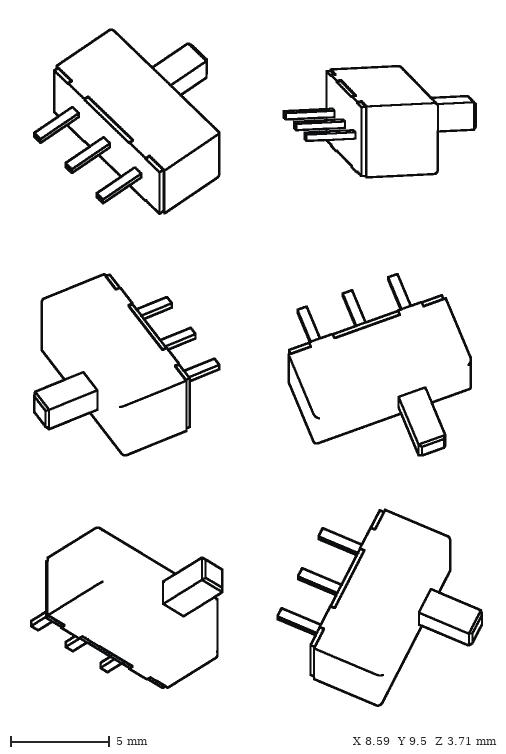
import cadquery as cq

HOUSING_WIDTH = 8.59
HOUSING_DEPTH = 3.77
HOUSING_HEIGHT = 3.71
HOUSING_ROUND = 0.27

BASE_THICKNESS = 0.25
BASE_SIDE_INSET = 0.11
BASE_EDGE_INSET = 0.06

TAB_INNER_X = 1.79
TAB_OUTER_X = 3.08

PIN_COUNT = 3
PIN_PITCH = 2.48
PIN_WIDTH = 0.51
PIN_HEIGHT = 0.33
PIN_LENGTH = 2.54

TOTAL_LENGTH = 9.5
SLIDER_LENGTH = TOTAL_LENGTH - HOUSING_DEPTH - BASE_THICKNESS - PIN_LENGTH
SLIDER_WIDTH = 1.46
SLIDER_HEIGHT = 1.44
SLIDER_OFFSET = -0.99
SLIDER_CHAMFER = 0.13


def block(width, length, height, x, y_start, z=0):
    """Box centred on x and z that runs from y_start toward +Y."""
    return (
        cq.Workplane("XY")
        .box(width, length, height, centered=(True, False, True))
        .translate((x, y_start, z))
    )


def make_housing():
    housing = block(HOUSING_WIDTH, HOUSING_DEPTH, HOUSING_HEIGHT, 0, 0)
    return housing.faces(">Y").edges().fillet(HOUSING_ROUND)


def make_base():
    width = HOUSING_WIDTH - 2 * BASE_SIDE_INSET
    height = HOUSING_HEIGHT - 2 * BASE_EDGE_INSET
    return block(width, BASE_THICKNESS, height, 0, -BASE_THICKNESS)


def make_tab_pair(side):
    """Tabs on the upper and lower edge, joined through the base."""
    width = TAB_OUTER_X - TAB_INNER_X
    x = side * (TAB_INNER_X + TAB_OUTER_X) / 2
    return block(width, BASE_THICKNESS, HOUSING_HEIGHT, x, -BASE_THICKNESS)


def make_pin(index):
    x = (index - (PIN_COUNT - 1) / 2) * PIN_PITCH
    return block(PIN_WIDTH, PIN_LENGTH, PIN_HEIGHT, x, -BASE_THICKNESS - PIN_LENGTH)


def make_slider():
    slider = block(SLIDER_WIDTH, SLIDER_LENGTH, SLIDER_HEIGHT, SLIDER_OFFSET, HOUSING_DEPTH)
    return slider.faces(">Y").edges().chamfer(SLIDER_CHAMFER)


result = make_housing().union(make_base()).union(make_slider())
for side in (-1, 1):
    result = result.union(make_tab_pair(side))
for index in range(PIN_COUNT):
    result = result.union(make_pin(index))